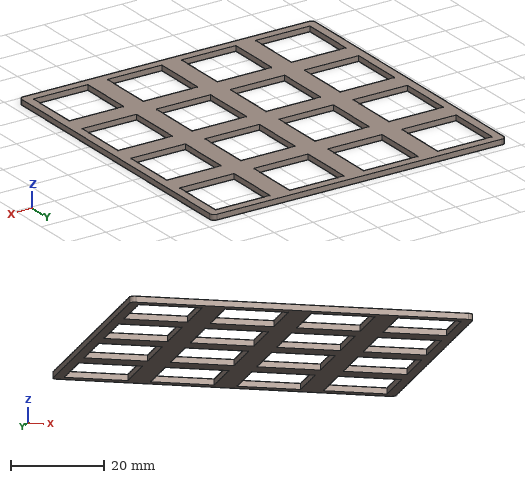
import cadquery as cq

plate_side = 75.4
plate_thickness = 1.35
corner_radius = 1.1

openings_per_side = 4
opening_side = 13.95
opening_pitch = 19.0

plate = (
    cq.Workplane("XY")
    .box(plate_side, plate_side, plate_thickness)
    .edges("|Z")
    .fillet(corner_radius)
)

openings = (
    cq.Workplane("XY")
    .rarray(opening_pitch, opening_pitch, openings_per_side, openings_per_side)
    .rect(opening_side, opening_side)
    .extrude(plate_thickness, both=True)
)

result = plate.cut(openings)